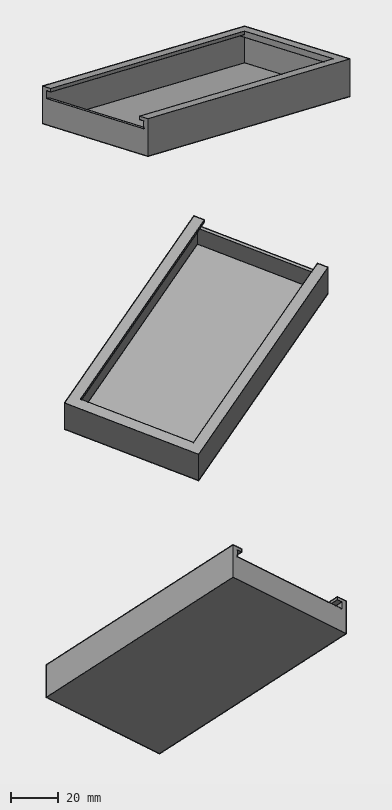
import cadquery as cq

width = 63.0
length = 118.0
height = 16.5

wall = 2.5
floor_thickness = 1.5
sill_thickness = 1.5
sill_drop = 5.0

rim_width = 5.0
side_lip_thickness = 1.5
back_lip_thickness = 2.7

front = -length / 2
back = length / 2
cavity_width = width - 2 * wall
opening_width = width - 2 * rim_width


def block(size_x, y_start, y_end, z_start, z_end):
    """Block centred on X, spanning the given Y and Z ranges."""
    return (
        cq.Workplane("XY")
        .box(size_x, y_end - y_start, z_end - z_start, centered=(True, False, False))
        .translate((0, y_start, z_start))
    )


body = block(width, front, back, 0, height)

opening = block(opening_width, front, back - rim_width, height - sill_drop, height)

lid_slot = block(
    cavity_width, front, back - rim_width, height - sill_drop, height - side_lip_thickness
)

cavity = block(
    cavity_width, front + sill_thickness, back - wall, floor_thickness, height - back_lip_thickness
)

result = body.cut(opening).cut(lid_slot).cut(cavity)